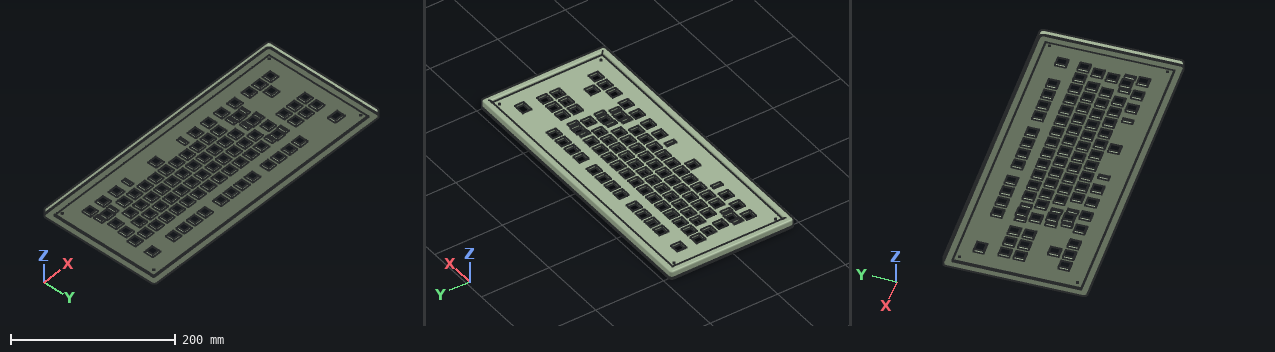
import cadquery as cq
length = 408.5
width = 184.0
height = 12.0

base_thickness = 2.0
deck_thickness = 5.0
rim_radius = 2.5
corner_radius = 5.0
wall_thickness = 10.0
recess_depth = 4.0
deck_top = height - recess_depth
inner_length = length - 2 * wall_thickness
inner_width = width - 2 * wall_thickness

screw_diameter = 2.0
screw_spacing_x = 374.5
screw_spacing_y = 150.5

key_pitch = 19.05
key_size = 14.0
field_pitches = 18.25
stabilizer_width = 6.5
stabilizer_length = 13.5
stabilizer_drop = 1.2
short_bar = 12.0
long_bar = 50.0

socket_length = 17.0
socket_width = 13.0
socket_x = 165.0
socket_y = 55.0

function_row = 2.75
number_row = 1.25
upper_row = 0.25
home_row = -0.75
lower_row = -1.75
space_row = -2.75


def run(first, count, step=1.0):
    """Evenly stepped key centres, in pitches."""
    return [first + step * i for i in range(count)]


arrow_keys = run(15.75, 3)
up_arrow = arrow_keys[1]
backspace = 14.0
enter_key = 13.875
left_shift = 1.125
right_shift = 13.625
space_bar = 6.875

key_rows = {
    function_row: [0.5] + run(2.5, 4) + run(7.0, 4) + run(11.5, 4),
    number_row: run(0.5, 13) + [backspace] + arrow_keys,
    upper_row: [0.75] + run(2.0, 12) + [14.25] + arrow_keys,
    home_row: [0.875] + run(2.25, 11) + [enter_key],
    lower_row: [left_shift] + run(2.75, 10) + [right_shift, up_arrow],
    space_row: run(0.625, 3, 1.25) + [space_bar] + run(10.625, 4, 1.25) + arrow_keys,
}

stabilized_keys = [
    (backspace, number_row, short_bar),
    (enter_key, home_row, short_bar),
    (left_shift, lower_row, short_bar),
    (right_shift, lower_row, short_bar),
    (space_bar, space_row, long_bar),
]


def place(column, row):
    """Centre of a key, with the key field centred on the case."""
    return ((column - field_pitches / 2) * key_pitch, row * key_pitch)


def key_cutters():
    centres = [place(column, row) for row, columns in key_rows.items() for column in columns]
    return cq.Workplane("XY").pushPoints(centres).rect(key_size, key_size).extrude(height)


def stabilizer_cutters():
    centres = []
    for column, row, bar in stabilized_keys:
        x, y = place(column, row)
        centres += [(x + side * bar, y - stabilizer_drop) for side in (-1, 1)]
    return cq.Workplane("XY").pushPoints(centres).rect(stabilizer_width, stabilizer_length).extrude(height)


def socket_cutter():
    return cq.Workplane("XY").center(socket_x, socket_y).rect(socket_length, socket_width).extrude(height)


def screw_cutters():
    return (
        cq.Workplane("XY").rect(screw_spacing_x, screw_spacing_y, forConstruction=True).vertices()
        .circle(screw_diameter / 2).extrude(height)
    )


def cut_openings(body):
    for cutter in (key_cutters(), stabilizer_cutters(), socket_cutter(), screw_cutters()):
        body = body.cut(cutter)
    return body


def rounded_block(bottom, thickness):
    """Block with the outline of the case."""
    return (
        cq.Workplane("XY").workplane(offset=bottom).rect(length, width).extrude(thickness)
        .edges("|Z").fillet(corner_radius)
    )


def inner_block(bottom, thickness):
    """Block that fills the space between the walls."""
    return cq.Workplane("XY").workplane(offset=bottom).rect(inner_length, inner_width).extrude(thickness)


def make_shell():
    """Rounded walls around a recessed deck that carries all the openings."""
    wall_height = height - base_thickness
    walls = (
        rounded_block(base_thickness, wall_height)
        .cut(inner_block(base_thickness, wall_height))
        .faces(">Z").edges().fillet(rim_radius)
    )
    deck = cut_openings(inner_block(deck_top - deck_thickness, deck_thickness))
    return walls.union(deck)


def make_base():
    """Flat frame under the shell walls, open below the deck."""
    return rounded_block(0, base_thickness).cut(inner_block(0, base_thickness))


shell = make_shell()
base = make_base()
result = cq.Compound.makeCompound([shell.val(), base.val()])